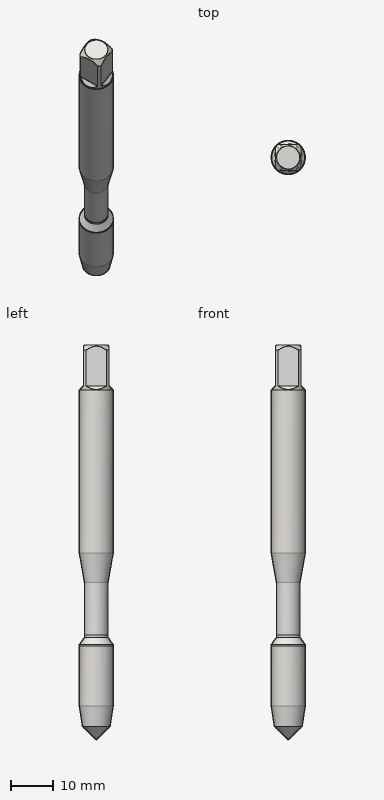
import cadquery as cq

total_length = 93.19

shank_diameter = 8.08
square_corner_diameter = 7.75
square_width = 6.03
square_end_diameter = 5.45
square_length = 9.65
square_end_chamfer_height = 1.28
shank_top_z = total_length - 10.7
shank_bottom_z = 44.1

neck_diameter = 5.65
neck_top_z = 37.2
neck_bottom_z = 24.8

shoulder_bottom_z = 24.2
shoulder_top_z = 22.5
shoulder_top_diameter = 8.04
thread_top_z = 22.2
thread_diameter = 8.08
lead_top_z = 8.0
tip_length = 3.25
tip_diameter = 6.6


def revolved(half_profile):
    """Solid of revolution about Z from (radius, z) points that start and end on the axis."""
    return cq.Workplane("XZ").polyline(half_profile).close().revolve(360, (0, 0), (0, 1))


def flat_cutter():
    """Material removed beside one flat of the driving square, ending in a 45 degree ramp."""
    flat_distance = square_width / 2
    flat_bottom_z = total_length - square_length
    reach = shank_diameter
    ramp_rise = reach - flat_distance
    return (
        cq.Workplane("XZ")
        .polyline([
            (flat_distance, total_length),
            (flat_distance, flat_bottom_z),
            (reach, flat_bottom_z - ramp_rise),
            (reach, total_length),
        ])
        .close()
        .extrude(shank_diameter, both=True)
    )


def make_shank():
    """Shank with its driving square at the top and the tapered neck at the bottom."""
    corner_radius = square_corner_diameter / 2
    shank = revolved([
        (0, total_length),
        (square_end_diameter / 2, total_length),
        (corner_radius, total_length - square_end_chamfer_height),
        (corner_radius, shank_top_z),
        (shank_diameter / 2, shank_top_z),
        (shank_diameter / 2, shank_bottom_z),
        (neck_diameter / 2, neck_top_z),
        (neck_diameter / 2, neck_bottom_z),
        (0, neck_bottom_z),
    ])
    for side in range(4):
        shank = shank.cut(flat_cutter().rotate((0, 0, 0), (0, 0, 1), 90 * side))
    return shank


def make_threaded_head():
    """Head below the neck: conical shoulder, plain thread envelope, lead taper and tip."""
    return revolved([
        (0, neck_bottom_z),
        (neck_diameter / 2, neck_bottom_z),
        (neck_diameter / 2, shoulder_bottom_z),
        (shoulder_top_diameter / 2, shoulder_top_z),
        (shoulder_top_diameter / 2, thread_top_z),
        (thread_diameter / 2, thread_top_z),
        (thread_diameter / 2, lead_top_z),
        (tip_diameter / 2, tip_length),
        (0, 0),
    ])


shank = make_shank()
threaded_head = make_threaded_head()

result = cq.Compound.makeCompound([shank.val(), threaded_head.val()])